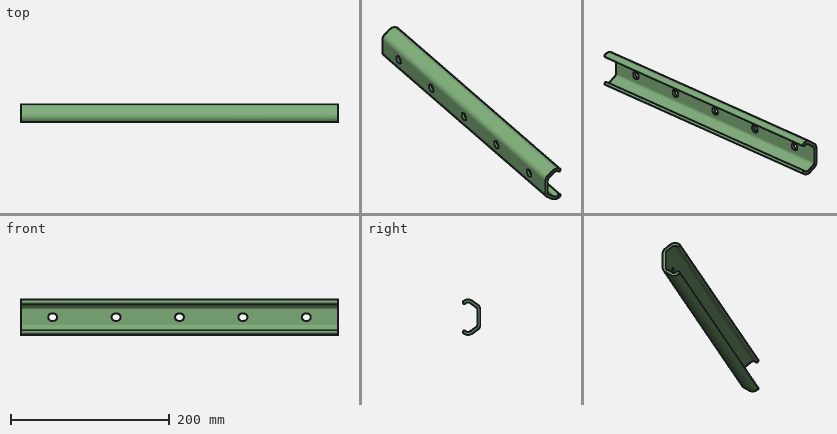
import cadquery as cq
import math

length = 400.0
depth = 22.67
height = 45.11

sheet = 4.0
inner_radius = 4.5
outer_radius = inner_radius + sheet
web_half = 9.0
bend_angle = math.radians(55.0)

lip_round = 1.0

slot_count = 5
slot_pitch = length / slot_count
slot_length = 11.0
slot_width = 9.0

sin_bend = math.sin(bend_angle)
cos_bend = math.cos(bend_angle)

flank = (height / 2 - web_half - outer_radius) / cos_bend
corner_depth = depth + lip_round * (sin_bend + cos_bend - 1)
lip = (corner_depth - outer_radius * (1 + cos_bend)) / sin_bend - flank

web_back = depth / 2
web_bend_center = (web_back - outer_radius, web_half)
crown_center = (
    web_bend_center[0] - flank * sin_bend,
    web_bend_center[1] + flank * cos_bend,
)


def on_arc(center, radius, angle):
    """Point (Y, Z) at an angle from +Y toward +Z around a center."""
    return (center[0] + radius * math.cos(angle), center[1] + radius * math.sin(angle))


def mirrored(point):
    """The same point in the lower half of the section."""
    return (point[0], -point[1])


def upper_points(radius):
    """Points of one skin of the upper half, from the web to the lip end."""
    crown_end = on_arc(crown_center, radius, math.pi - bend_angle)
    return [
        on_arc(web_bend_center, radius, 0),
        on_arc(web_bend_center, radius, bend_angle / 2),
        on_arc(web_bend_center, radius, bend_angle),
        on_arc(crown_center, radius, bend_angle),
        on_arc(crown_center, radius, math.pi / 2),
        crown_end,
        (crown_end[0] - lip * sin_bend, crown_end[1] - lip * cos_bend),
    ]


def web_to_lip(outline, p):
    """Continue an outline along one skin, from the web bend out to the lip end."""
    return (
        outline.threePointArc(p[1], p[2])
        .lineTo(*p[3])
        .threePointArc(p[4], p[5])
        .lineTo(*p[6])
    )


def lip_to_web(outline, p):
    """Continue an outline along one skin, from the lip end back to the web."""
    return (
        outline.lineTo(*p[5])
        .threePointArc(p[4], p[3])
        .lineTo(*p[2])
        .threePointArc(p[1], p[0])
    )


def make_section():
    """Closed C-shaped section in the YZ plane."""
    outer = upper_points(outer_radius)
    inner = upper_points(inner_radius)
    lower_outer = [mirrored(p) for p in outer]
    lower_inner = [mirrored(p) for p in inner]
    section = cq.Workplane("YZ", origin=(-length / 2, 0, 0)).moveTo(*outer[0])
    section = web_to_lip(section, outer).lineTo(*inner[-1])
    section = lip_to_web(section, inner).lineTo(*lower_inner[0])
    section = web_to_lip(section, lower_inner).lineTo(*lower_outer[-1])
    section = lip_to_web(section, lower_outer)
    return section.close()


def make_slots():
    """Cutters for the evenly spaced slots through the web."""
    first = -slot_pitch * (slot_count - 1) / 2
    centers = [(first + i * slot_pitch, 0) for i in range(slot_count)]
    return (
        cq.Workplane("XZ", origin=(0, web_back, 0))
        .pushPoints(centers)
        .slot2D(slot_length, slot_width)
        .extrude(sheet)
    )


def round_lips(rail):
    """Round the long edges at the end of both lips."""
    corners = [upper_points(outer_radius)[-1], upper_points(inner_radius)[-1]]
    for y, z in corners + [mirrored(p) for p in corners]:
        rail = rail.edges(cq.selectors.NearestToPointSelector((0, y, z))).fillet(lip_round)
    return rail


rail = make_section().extrude(length)
result = round_lips(rail).cut(make_slots())